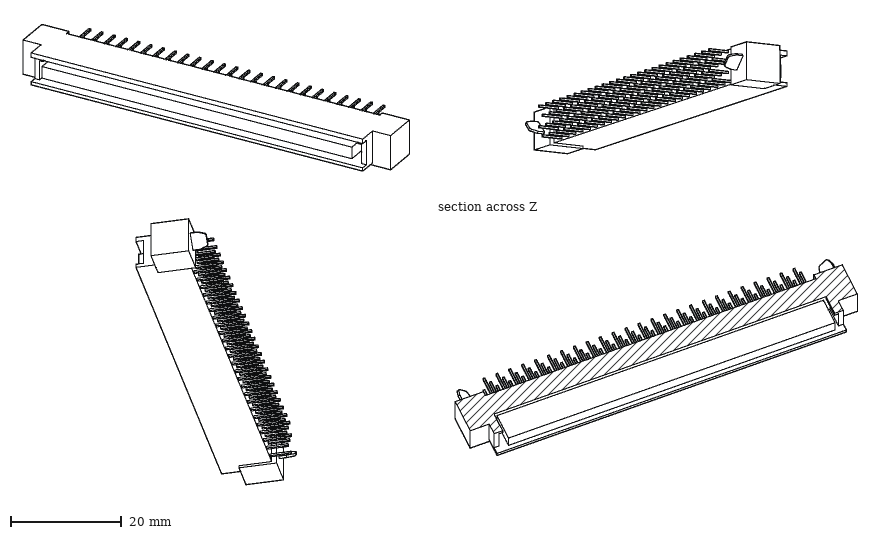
import cadquery as cq

length = 76.2
depth = 13.7
height = 7.0

nose_length = 68.75
ear_front = 3.65
ear_back = 10.7
core_length = 64.95
core_back = 9.75
foot_height = 0.45

top_wall = 0.9
bottom_wall = 0.7
cavity_depth = 5.3
cavity_wide = 66.8
cavity_narrow = 65.25
key_z = 5.0
end_wall_setback = 1.4
cavity_bottom = foot_height + bottom_wall
cavity_top = height - top_wall

tongue_length = 64.3
tongue_bottom = 2.45
tongue_top = 4.8

pin_columns = 50
pin_pitch = 3.8 / 3
pin_size = 0.4
pin_rows = 4
row_pitch = 1.9
first_row_z = 0.9
pin_root = 0.4

blade_x = 35.6
blade_z = 3.65
blade_width = 3.2
blade_thickness = 0.45
blade_height = 2.8
blade_straight = 1.4
blade_root = 0.6
blade_tip_width = 2.2
blade_tip_radius = 0.45
blade_tilt = 45


def box(x_size, y_start, y_end, z_start, z_end, x_center=0.0):
    """Box centred on x_center, given by its Y and Z limits."""
    block = cq.Workplane("XY").box(x_size, y_end - y_start, z_end - z_start, centered=(True, False, False))
    return block.translate((x_center, y_start, z_start))


def make_housing():
    """Nose and core as one block, with a taller ear at each end."""
    nose = box(nose_length, 0, core_back, foot_height, height)
    ear_length = (length - core_length) / 2
    ear_x = (length - ear_length) / 2
    left_ear = box(ear_length, ear_front, ear_back, 0, height, -ear_x)
    right_ear = box(ear_length, ear_front, ear_back, 0, height, ear_x)
    return nose.union(left_ear).union(right_ear)


def make_cavity():
    """Keyed opening, with end walls cut back from the mating face."""
    lower = box(cavity_wide, 0, cavity_depth, cavity_bottom, key_z)
    upper = box(cavity_narrow, 0, cavity_depth, key_z, cavity_top)
    end_notch = box(nose_length, 0, end_wall_setback, cavity_bottom, cavity_top)
    return lower.union(upper).union(end_notch)


def make_pins():
    """Staggered pins: even columns start in the lowest row, odd columns one row up."""
    pins = cq.Workplane("XY")
    for column in range(pin_columns):
        x = (column - (pin_columns - 1) / 2) * pin_pitch
        for row in range(column % 2, pin_rows, 2):
            z = first_row_z + row * row_pitch
            pin = box(pin_size, core_back - pin_root, depth, z - pin_size / 2, z + pin_size / 2, x)
            pins.add(pin)
    return pins.combine(glue=True)


def make_blade(side):
    """Flat tapered blade behind the ear on the given side (-1 left, +1 right)."""
    blade = (
        cq.Workplane("XY")
        .moveTo(-blade_width / 2, -blade_root)
        .lineTo(blade_width / 2, -blade_root)
        .lineTo(blade_width / 2, blade_straight)
        .lineTo(blade_tip_width / 2, blade_height)
        .lineTo(-blade_tip_width / 2, blade_height)
        .lineTo(-blade_width / 2, blade_straight)
        .close()
        .extrude(blade_thickness / 2, both=True)
        .edges("|Z and >Y")
        .fillet(blade_tip_radius)
    )
    blade = blade.rotate((0, 0, 0), (0, 1, 0), -side * blade_tilt)
    return blade.translate((side * blade_x, ear_back, blade_z))


tongue = box(tongue_length, 0, cavity_depth, tongue_bottom, tongue_top)
result = make_housing().cut(make_cavity()).union(tongue).union(make_pins())
for side in (-1, 1):
    result = result.union(make_blade(side))